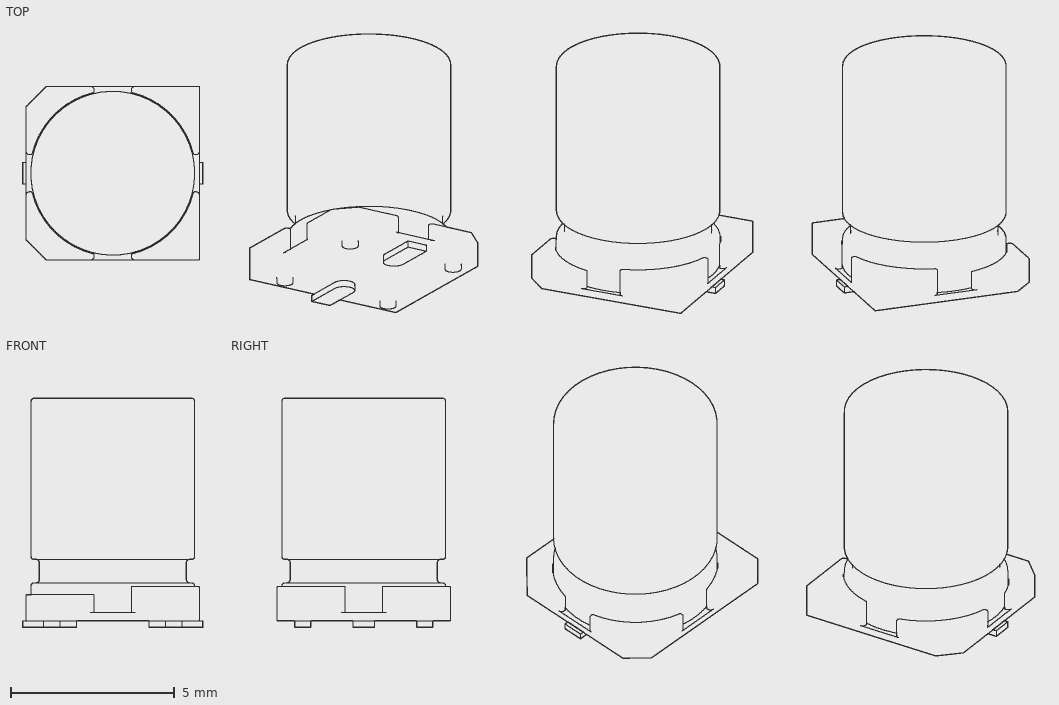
import cadquery as cq
import math

total_height = 7.0
base_bottom = 0.2
pocket_floor = 0.45
low_corner_top = 1.0
high_corner_top = 1.25

base_size = 5.3
corner_cut = 0.62
base_edge_radius = 0.03
pocket_diameter = 5.06
gap_width = 1.13
gap_mouth_radius = 0.12
gap_inner_radius = 0.05

can_diameter = 5.0
neck_diameter = 4.5
groove_bottom = 1.36
groove_top = 2.075
can_edge_radius = 0.1
groove_rim_radius = 0.085
groove_root_radius = 0.1

terminal_span = 5.5
terminal_width = 0.66
terminal_tip_x = 1.1
foot_diameter = 0.5
foot_offset = 1.86
foot_edge_radius = 0.025

tolerance = 0.01


def make_block():
    """Base block with cut -X corners and a lower -X half."""
    block = (
        cq.Workplane("XY")
        .workplane(offset=base_bottom)
        .rect(base_size, base_size)
        .extrude(high_corner_top - base_bottom)
        .edges("|Z and <X")
        .chamfer(corner_cut)
        .edges("|Z")
        .fillet(base_edge_radius)
    )
    above_low_half = (
        cq.Workplane("XY")
        .workplane(offset=low_corner_top)
        .center(-base_size / 2, 0)
        .rect(base_size, base_size)
        .extrude(high_corner_top - low_corner_top)
    )
    return block.cut(above_low_half)


def make_opening():
    """Round pocket and the cross of side gaps between the corner blocks."""
    depth = total_height - pocket_floor
    floor = cq.Workplane("XY").workplane(offset=pocket_floor)
    opening = floor.circle(pocket_diameter / 2).extrude(depth)
    opening = opening.union(floor.rect(base_size, gap_width).extrude(depth))
    opening = opening.union(floor.rect(gap_width, base_size).extrude(depth))
    return opening


def gap_wall_edges(base, distance):
    """Vertical edges of the gap walls at a given distance from the can axis, along the gaps."""
    half_gap = gap_width / 2 + tolerance
    edges = []
    for side in (-1, 1):
        near, far = sorted((side * (distance - tolerance), side * (distance + tolerance)))
        along_x = cq.selectors.BoxSelector((near, -half_gap, 0), (far, half_gap, total_height))
        along_y = cq.selectors.BoxSelector((-half_gap, near, 0), (half_gap, far, total_height))
        edges += base.edges("|Z").edges(along_x + along_y).vals()
    return base.newObject(edges)


def make_base():
    """Base with rounded gap walls and lightly rounded outer edges."""
    base = make_block().cut(make_opening())
    mouth = base_size / 2
    base = gap_wall_edges(base, mouth).fillet(gap_mouth_radius)
    pocket_end = math.sqrt((pocket_diameter / 2) ** 2 - (gap_width / 2) ** 2)
    base = gap_wall_edges(base, pocket_end).fillet(gap_inner_radius)
    low_top_edges = cq.selectors.BoxSelector(
        (-base_size, -base_size, low_corner_top - tolerance),
        (0, base_size, low_corner_top + tolerance),
    )
    base = base.edges(low_top_edges).fillet(base_edge_radius)
    return base.edges("<Z or >Z").fillet(base_edge_radius)


def make_can():
    """Solid of revolution with a rounded top rim and a groove near its lower end."""
    radius = can_diameter / 2
    neck = neck_diameter / 2
    top = can_edge_radius
    rim = groove_rim_radius
    root = groove_root_radius
    profile = (
        cq.Workplane("XZ")
        .moveTo(0, pocket_floor)
        .lineTo(radius, pocket_floor)
        .lineTo(radius, groove_bottom - rim)
        .radiusArc((radius - rim, groove_bottom), -rim)
        .lineTo(neck + root, groove_bottom)
        .radiusArc((neck, groove_bottom + root), root)
        .lineTo(neck, groove_top - root)
        .radiusArc((neck + root, groove_top), root)
        .lineTo(radius - rim, groove_top)
        .radiusArc((radius, groove_top + rim), -rim)
        .lineTo(radius, total_height - top)
        .radiusArc((radius - top, total_height), -top)
        .lineTo(0, total_height)
        .close()
    )
    return profile.revolve(360, (0, 0, 0), (0, 1, 0))


def make_terminal(side):
    """Flat terminal strip with a round inner end."""
    tip_centre = terminal_tip_x + terminal_width / 2
    length = terminal_span / 2 - tip_centre
    strip = (
        cq.Workplane("XY")
        .center(side * (tip_centre + length / 2), 0)
        .rect(length, terminal_width)
        .extrude(base_bottom)
    )
    tip = (
        cq.Workplane("XY")
        .center(side * tip_centre, 0)
        .circle(terminal_width / 2)
        .extrude(base_bottom)
    )
    return strip.union(tip)


def make_feet():
    """Four round stand-off feet under the base, with rounded bottom rims."""
    return (
        cq.Workplane("XY")
        .rect(2 * foot_offset, 2 * foot_offset, forConstruction=True)
        .vertices()
        .circle(foot_diameter / 2)
        .extrude(base_bottom)
        .edges("<Z")
        .fillet(foot_edge_radius)
    )


def round_foot_roots(body):
    """Concave fillets where the feet meet the underside of the base."""
    reach = foot_offset + foot_diameter
    near_underside = cq.selectors.BoxSelector(
        (-reach, -reach, base_bottom - tolerance),
        (reach, reach, base_bottom + tolerance),
    )
    return body.edges("%CIRCLE").edges(near_underside).fillet(foot_edge_radius)


result = make_base().union(make_can()).union(make_feet())
result = round_foot_roots(result)
for side in (-1, 1):
    result = result.union(make_terminal(side))